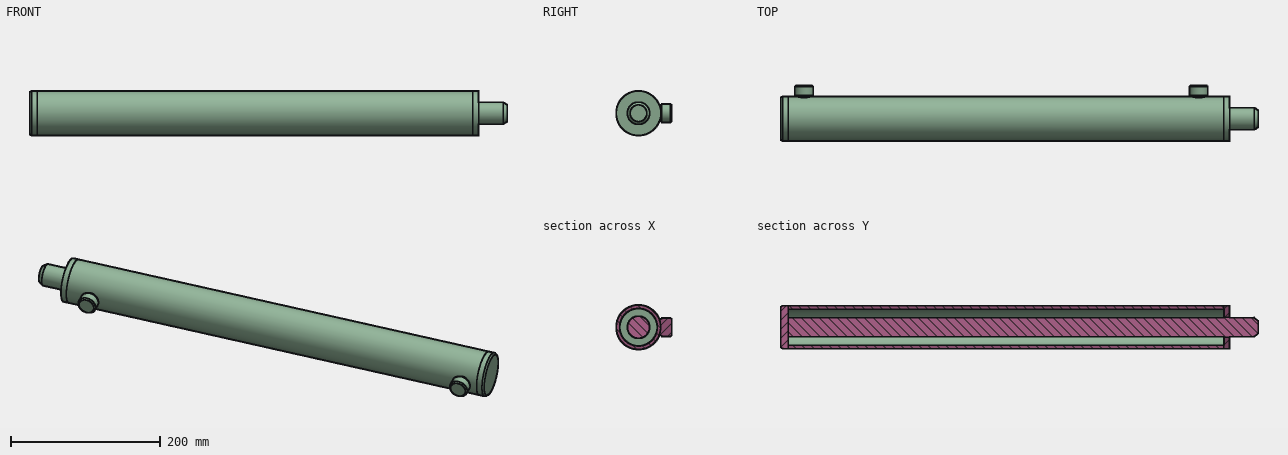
import cadquery as cq

total_length = 640.0
barrel_diameter = 60.0
bore_diameter = 50.0
body_length = 601.5
cap_thickness = 10.0
cap_chamfer_length = 2.5
cap_chamfer_depth = 2.0
gland_thickness = 8.0

rod_diameter = 30.0
rod_chamfer_length = 6.0
rod_chamfer_depth = 4.0

port_diameter = 25.0
port_height = 15.0
port_chamfer = 2.0
port_shoulder_gap = 1.0
port_positions = (31.5, 560.0)

barrel_radius = barrel_diameter / 2
rod_radius = rod_diameter / 2
port_radius = port_diameter / 2
tube_end = body_length - gland_thickness
tube_length = tube_end - cap_thickness


def cylinder_along_x(start, length, diameter):
    """Solid cylinder on the X axis, running from X = start."""
    return cq.Workplane("YZ", origin=(start, 0, 0)).circle(diameter / 2).extrude(length)


def make_end_cap():
    """Closed end disc with a chamfered outer rim."""
    return (
        cq.Workplane("XY")
        .lineTo(0, barrel_radius - cap_chamfer_depth)
        .lineTo(cap_chamfer_length, barrel_radius)
        .lineTo(cap_thickness, barrel_radius)
        .lineTo(cap_thickness, 0)
        .close()
        .revolve(360, (0, 0, 0), (1, 0, 0))
    )


def make_tube():
    """Barrel tube between the end cap and the gland."""
    outside = cylinder_along_x(cap_thickness, tube_length, barrel_diameter)
    bore = cylinder_along_x(cap_thickness, tube_length, bore_diameter)
    return outside.cut(bore)


def make_gland():
    """Ring that closes the tube around the rod."""
    disc = cylinder_along_x(tube_end, gland_thickness, barrel_diameter)
    rod_hole = cylinder_along_x(tube_end, gland_thickness, rod_diameter)
    return disc.cut(rod_hole)


def make_rod():
    """Retracted rod, from the end cap to a tapered tip beyond the gland."""
    return (
        cq.Workplane("XY")
        .moveTo(cap_thickness, 0)
        .lineTo(cap_thickness, rod_radius)
        .lineTo(total_length - rod_chamfer_length, rod_radius)
        .lineTo(total_length, rod_radius - rod_chamfer_depth)
        .lineTo(total_length, 0)
        .close()
        .revolve(360, (0, 0, 0), (1, 0, 0))
    )


def make_port(position):
    """Round boss, chamfered at both ends, saddled on the +Y side of the tube."""
    top = barrel_radius + port_height
    shoulder = barrel_radius + port_shoulder_gap
    neck_radius = port_radius - port_chamfer
    neck_start = shoulder - port_chamfer
    saddle_start = bore_diameter / 2
    boss = (
        cq.Workplane("XY", origin=(position, 0, 0))
        .moveTo(0, saddle_start)
        .lineTo(neck_radius, saddle_start)
        .lineTo(neck_radius, neck_start)
        .lineTo(port_radius, shoulder)
        .lineTo(port_radius, top - port_chamfer)
        .lineTo(neck_radius, top)
        .lineTo(0, top)
        .close()
        .revolve(360, (0, 0, 0), (0, 1, 0))
    )
    return boss.cut(cylinder_along_x(0, body_length, barrel_diameter))


end_cap = make_end_cap()
tube = make_tube()
gland = make_gland()
rod = make_rod()
ports = [make_port(position) for position in port_positions]

result = cq.Compound.makeCompound(
    [end_cap.val(), tube.val(), gland.val(), rod.val(), *[port.val() for port in ports]]
)